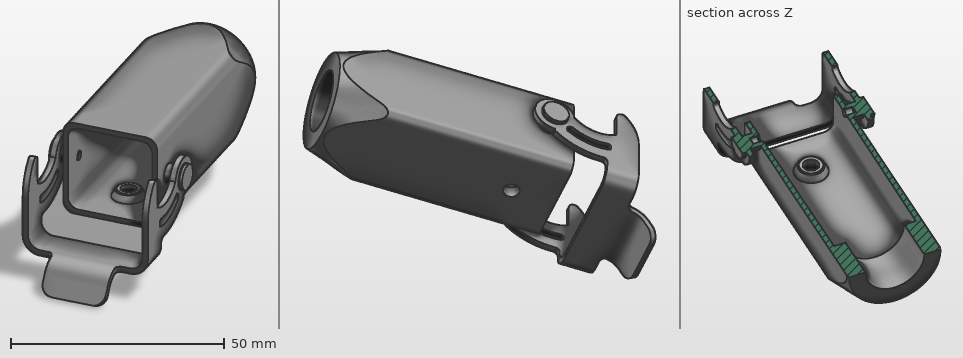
import cadquery as cq
import math


body_width = 24.0
body_length = 58.9
body_corner_radius = 3.0
wall = 1.3
cavity_corner_radius = 2.6
cavity_side_draft = 0.25
end_wall = 11.45
cable_bore_diameter = 15.05
cone_end_radius = 11.8
cone_length_per_radius = 3.1

boss_y = 11.0
boss_base_radius = 4.2
boss_top_radius = 3.1
boss_height = 2.0
boss_rim_chamfer = 0.25
boss_hole_diameter = 3.9

pivot_y = 6.4
pin_diameter = 5.0
pin_bore_diameter = 2.0
pin_bore_depth = 2.45
pin_recess_diameter = 2.4
pin_recess_depth = 0.5
cap_radius = 3.2
cap_flange_radius = 3.3
cap_flange_thickness = 0.25
cap_outer_x = 17.0

sheet = 1.5
lever_half_width = 16.0
lever_bottom_z = -16.5
bend_outer_radius = 4.6
bend_inner_radius = bend_outer_radius - sheet
lever_back_y = -14.8
base_front_y = -6.9
eye_radius = 5.0
arm_centre_y = -4.9
arm_centre_z = 6.55
arm_inner_radius = 8.5
arm_outer_radius = 16.6
slot_width = 2.05
slot_start_y = 2.1
slot_end_y = -6.8
hook_inner_y = -9.15
hook_arc_radius = 12.35
hook_arc_centre_z = -2.05
hook_tip_radius = 1.3
hook_root_radius = 0.7
arm_heel_radius = 1.2

tab_width = 16.1
tab_angle = 58.6
tab_bend_outer_radius = 6.55
tab_end_y = -22.9
tab_corner_radius = 2.95
tab_root_radius = 1.5

body_half = body_width / 2
cavity_half = body_half - wall
cavity_depth = body_length - end_wall
plate_inner_x = lever_half_width - sheet


def make_housing():
    block = (
        cq.Workplane("XY")
        .box(body_width, body_length, body_width, centered=(True, False, True))
        .edges("|Y")
        .fillet(body_corner_radius)
    )
    mouth_radius = cone_end_radius + body_length / cone_length_per_radius
    cone = (
        cq.Workplane("XY")
        .polyline([(0, 0), (mouth_radius, 0), (cone_end_radius, body_length), (0, body_length)])
        .close()
        .revolve(360, (0, 0), (0, 1))
    )
    mouth = cq.Sketch().rect(2 * cavity_half, 2 * cavity_half)
    mouth = mouth.vertices().fillet(cavity_corner_radius)
    inner_end = cq.Sketch().rect(2 * (cavity_half - cavity_side_draft), 2 * cavity_half)
    inner_end = inner_end.vertices().fillet(cavity_corner_radius)
    cavity = (
        cq.Workplane("XZ")
        .placeSketch(mouth, inner_end.moved(cq.Location(cq.Vector(0, 0, -cavity_depth))))
        .loft()
    )
    cable_bore = cq.Workplane("XZ").circle(cable_bore_diameter / 2).extrude(-body_length)
    return block.intersect(cone).cut(cavity).cut(cable_bore)


def make_boss():
    """Solid conical boss standing on the cavity floor."""
    return (
        cq.Workplane("XZ")
        .polyline([(0, 0), (boss_base_radius, 0), (boss_top_radius, boss_height), (0, boss_height)])
        .close()
        .revolve(360, (0, 0), (0, 1))
        .faces(">Z")
        .chamfer(boss_rim_chamfer)
        .translate((0, boss_y, -cavity_half))
    )


def make_boss_hole():
    """Vertical hole through the boss and the housing floor."""
    return (
        cq.Workplane("XY", origin=(0, boss_y, -body_half))
        .circle(boss_hole_diameter / 2)
        .extrude(wall + boss_height)
    )


def along_x(radius, x_start, x_end):
    """Cylinder on the pivot axis between two X positions."""
    return (
        cq.Workplane("YZ", origin=(x_start, pivot_y, 0))
        .circle(radius)
        .extrude(x_end - x_start)
    )


def make_pin():
    """Right-hand pivot pin with its flanged cap outside the lever."""
    shank = along_x(pin_diameter / 2, cavity_half + wall / 2, lever_half_width)
    flange = along_x(cap_flange_radius, lever_half_width, lever_half_width + cap_flange_thickness)
    cap = along_x(cap_radius, lever_half_width, cap_outer_x)
    return shank.union(flange).union(cap)


def make_arm():
    """Arc-shaped arm joining the pivot eye to the hook."""
    plane = cq.Workplane("YZ", origin=(plate_inner_x, 0, 0))
    centre = (arm_centre_y, arm_centre_z)
    band = plane.pushPoints([centre]).circle(arm_outer_radius).circle(arm_inner_radius)
    band = band.extrude(sheet)
    sector = (
        plane.polyline([
            centre,
            (pivot_y, 0),
            (pivot_y, lever_bottom_z),
            (lever_back_y, lever_bottom_z),
            (hook_inner_y - hook_tip_radius, arm_centre_z - arm_inner_radius),
        ])
        .close()
        .extrude(sheet)
    )
    eye = plane.pushPoints([(pivot_y, 0)]).circle(eye_radius).extrude(sheet)
    return band.intersect(sector).union(eye)


def make_slot():
    """Curved slot with round ends, following the middle of the arm."""
    mid_radius = (arm_inner_radius + arm_outer_radius) / 2

    def point(y, radius):
        angle = math.asin((y - arm_centre_y) / mid_radius)
        return (arm_centre_y + radius * math.sin(angle), arm_centre_z - radius * math.cos(angle))

    mid_y = (slot_start_y + slot_end_y) / 2
    inner = mid_radius - slot_width / 2
    outer = mid_radius + slot_width / 2
    round_start = slot_start_y + slot_width / 2
    round_end = slot_end_y - slot_width / 2
    return (
        cq.Workplane("YZ", origin=(plate_inner_x, 0, 0))
        .moveTo(*point(slot_start_y, inner))
        .threePointArc(point(mid_y, inner), point(slot_end_y, inner))
        .threePointArc(point(round_end, mid_radius), point(slot_end_y, outer))
        .threePointArc(point(mid_y, outer), point(slot_start_y, outer))
        .threePointArc(point(round_start, mid_radius), point(slot_start_y, inner))
        .close()
        .extrude(sheet)
    )


def make_hook():
    """Upright hook plate reaching down to the bend of the base strip."""
    arc_centre_y = lever_back_y + hook_arc_radius

    def arc_point(y):
        return (y, hook_arc_centre_z + math.sqrt(hook_arc_radius**2 - (y - arc_centre_y) ** 2))

    plate_bottom_z = lever_bottom_z + bend_outer_radius
    arm_top_z = arm_centre_z - arm_inner_radius
    outline = (
        cq.Workplane("YZ", origin=(plate_inner_x, 0, 0))
        .moveTo(lever_back_y, plate_bottom_z)
        .lineTo(lever_back_y, hook_arc_centre_z)
        .threePointArc(arc_point((lever_back_y + hook_inner_y) / 2), arc_point(hook_inner_y))
        .lineTo(hook_inner_y, arm_top_z)
        .lineTo(base_front_y, arm_top_z - sheet)
        .lineTo(base_front_y, plate_bottom_z)
        .close()
        .extrude(sheet)
    )
    return outline.edges("|X").edges(">Z").fillet(hook_tip_radius)


def corner_near(y, z):
    """Selector for the edges across the sheet closest to a point of the side plate."""
    return cq.selectors.NearestToPointSelector((lever_half_width - sheet / 2, y, z))


def make_side_plate():
    plate = make_arm().union(make_hook()).clean()
    root_dy = hook_inner_y - arm_centre_y
    root_z = arm_centre_z - math.sqrt(arm_inner_radius**2 - root_dy**2)
    heel_dy = base_front_y - arm_centre_y
    heel_z = arm_centre_z - math.sqrt(arm_outer_radius**2 - heel_dy**2)
    plate = plate.edges("|X").edges(corner_near(hook_inner_y, root_z)).fillet(hook_root_radius)
    plate = plate.edges("|X").edges(corner_near(base_front_y, heel_z)).fillet(arm_heel_radius)
    return plate.cut(make_slot())


def make_base_strip():
    """Flat strip under the housing with a quarter bend up at each side."""
    bend_x = lever_half_width - bend_outer_radius
    bend_z = lever_bottom_z + bend_outer_radius
    diagonal = math.sqrt(0.5)
    outer_mid = bend_outer_radius * diagonal
    inner_mid = bend_inner_radius * diagonal
    top_z = lever_bottom_z + sheet
    return (
        cq.Workplane("XZ", origin=(0, base_front_y, 0))
        .moveTo(-bend_x, lever_bottom_z)
        .lineTo(bend_x, lever_bottom_z)
        .threePointArc((bend_x + outer_mid, bend_z - outer_mid), (lever_half_width, bend_z))
        .lineTo(plate_inner_x, bend_z)
        .threePointArc((bend_x + inner_mid, bend_z - inner_mid), (bend_x, top_z))
        .lineTo(-bend_x, top_z)
        .threePointArc((-bend_x - inner_mid, bend_z - inner_mid), (-plate_inner_x, bend_z))
        .lineTo(-lever_half_width, bend_z)
        .threePointArc((-bend_x - outer_mid, bend_z - outer_mid), (-bend_x, lever_bottom_z))
        .close()
        .extrude(base_front_y - lever_back_y)
    )


def make_thumb_tab():
    """Tab that curves down from the back edge of the base strip."""
    slope = math.radians(tab_angle)
    inner_radius = tab_bend_outer_radius - sheet
    centre_z = lever_bottom_z + sheet - tab_bend_outer_radius

    def bend_point(radius, angle):
        return (lever_back_y - radius * math.sin(angle), centre_z + radius * math.cos(angle))

    bend_end = bend_point(tab_bend_outer_radius, slope)
    straight_run = bend_end[0] - tab_end_y
    outer_end = (tab_end_y, bend_end[1] - straight_run * math.tan(slope))
    inner_end = (outer_end[0] + sheet * math.sin(slope), outer_end[1] - sheet * math.cos(slope))
    half_width = tab_width / 2
    root_half = half_width + tab_root_radius
    tab = (
        cq.Workplane("YZ", origin=(-root_half, 0, 0))
        .moveTo(*bend_point(tab_bend_outer_radius, 0))
        .threePointArc(bend_point(tab_bend_outer_radius, slope / 2), bend_end)
        .lineTo(*outer_end)
        .lineTo(*inner_end)
        .lineTo(*bend_point(inner_radius, slope))
        .threePointArc(bend_point(inner_radius, slope / 2), bend_point(inner_radius, 0))
        .close()
        .extrude(2 * root_half)
    )
    root_y = lever_back_y - tab_root_radius
    flare = tab_root_radius * (1 - math.sqrt(0.5))
    outline = (
        cq.Workplane("XY", origin=(0, 0, lever_bottom_z - body_width))
        .moveTo(-root_half, lever_back_y)
        .lineTo(root_half, lever_back_y)
        .threePointArc((half_width + flare, lever_back_y - flare), (half_width, root_y))
        .lineTo(half_width, 2 * tab_end_y)
        .lineTo(-half_width, 2 * tab_end_y)
        .lineTo(-half_width, root_y)
        .threePointArc((-half_width - flare, lever_back_y - flare), (-root_half, lever_back_y))
        .close()
        .extrude(2 * body_width)
    )
    tab = tab.intersect(outline)
    corner_y = (outer_end[0] + inner_end[0]) / 2
    corner_z = (outer_end[1] + inner_end[1]) / 2
    for side in (-1, 1):
        corner = (side * half_width, corner_y, corner_z)
        tab = tab.edges(cq.selectors.NearestToPointSelector(corner)).fillet(tab_corner_radius)
    return tab


right_side = make_side_plate().union(make_pin())
left_side = right_side.mirror("YZ")
result = make_housing().union(make_boss()).cut(make_boss_hole())
result = result.union(make_base_strip()).union(make_thumb_tab())
result = result.union(right_side).union(left_side)

for side in (-1, 1):
    for diameter, depth in ((pin_bore_diameter, pin_bore_depth), (pin_recess_diameter, pin_recess_depth)):
        start_x = side * (cavity_half - wall)
        end_x = side * (cavity_half + depth)
        result = result.cut(along_x(diameter / 2, start_x, end_x))